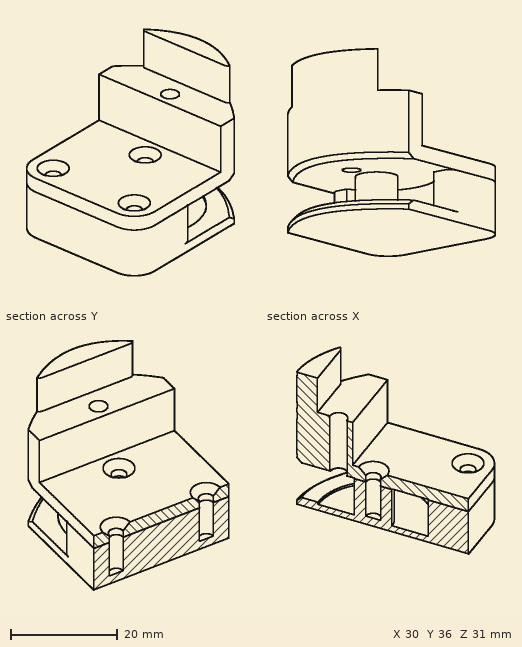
import cadquery as cq

WIDTH = 30.0
LENGTH = 36.0
HALF_WIDTH = WIDTH / 2
CORNER_RADIUS = 5.0
NOSE_LENGTH = 7.75
NOSE_START_Y = LENGTH - NOSE_LENGTH
NOSE_CHAMFER = 1.0

FLOOR_TOP = 2.0
PARTING_Z = 10.0
PLATE_TOP = 13.0
STEP_TOP = 23.0
LIP_TOP = 31.0

WHEEL_Y = 20.0
WHEEL_SPACE_DIAMETER = 23.0
WHEEL_RECESS_DEPTH = 0.5
HUB_DIAMETER = 8.0
BLOCK_LENGTH = 16.0
BLOCK_END_RADIUS = 2.0

STEP_FRONT_Y = 24.25
LIP_FRONT_Y = 31.6
LIP_WIDTH = 21.5
LIP_CORNER_RADIUS = 1.0

SCREW_DIAMETER = 3.0
SCREW_HEAD_DIAMETER = 6.0
COUNTERSINK_ANGLE = 90.0
FRONT_SCREW_X = 10.0
FRONT_SCREW_Y = 5.0
SCREW_POINTS = [
    (0, WHEEL_Y),
    (-FRONT_SCREW_X, FRONT_SCREW_Y),
    (FRONT_SCREW_X, FRONT_SCREW_Y),
]

STEP_HOLE_DIAMETER = 3.5
STEP_HOLE_Y = 27.25


def footprint_slab(bottom, top):
    """Slab with the full footprint between two heights."""
    nose_control = (0, NOSE_START_Y + 2 * NOSE_LENGTH)
    return (
        cq.Workplane("XY", origin=(0, 0, bottom))
        .moveTo(-HALF_WIDTH, NOSE_START_Y)
        .lineTo(-HALF_WIDTH, 0)
        .lineTo(HALF_WIDTH, 0)
        .lineTo(HALF_WIDTH, NOSE_START_Y)
        .bezier([nose_control, (-HALF_WIDTH, NOSE_START_Y)], includeCurrent=True)
        .close()
        .extrude(top - bottom)
        .edges("|Z and <Y")
        .fillet(CORNER_RADIUS)
    )


def full_width_box(front, back, bottom, top):
    """Box across the full width between two Y positions and two heights."""
    return (
        cq.Workplane("XY", origin=(0, front, bottom))
        .rect(WIDTH, back - front, centered=(True, False))
        .extrude(top - bottom)
    )


def cylinder(diameter, y, bottom, top):
    """Vertical cylinder on the centre line."""
    return cq.Workplane("XY", origin=(0, y, bottom)).circle(diameter / 2).extrude(top - bottom)


def make_base():
    """Floor, rear-opening wheel space, hub and blind screw holes."""
    base = footprint_slab(0, FLOOR_TOP).faces(">Z").edges(">Y").chamfer(NOSE_CHAMFER)

    block = footprint_slab(0, PARTING_Z).intersect(full_width_box(0, BLOCK_LENGTH, 0, PARTING_Z))
    block = block.edges("|Z and >Y").fillet(BLOCK_END_RADIUS)
    wheel_floor = FLOOR_TOP - WHEEL_RECESS_DEPTH
    base = base.union(block).cut(cylinder(WHEEL_SPACE_DIAMETER, WHEEL_Y, wheel_floor, PARTING_Z))

    base = base.union(cylinder(HUB_DIAMETER, WHEEL_Y, wheel_floor, PARTING_Z))

    screw_holes = (
        cq.Workplane("XY", origin=(0, 0, FLOOR_TOP))
        .pushPoints(SCREW_POINTS)
        .circle(SCREW_DIAMETER / 2)
        .extrude(PARTING_Z - FLOOR_TOP)
    )
    return base.cut(screw_holes)


def make_lip():
    """Upright lip: the nose area cut straight across at the front, with rounded front corners."""
    lip_block = (
        cq.Workplane("XY", origin=(0, LIP_FRONT_Y, STEP_TOP))
        .rect(LIP_WIDTH, LENGTH - LIP_FRONT_Y, centered=(True, False))
        .extrude(LIP_TOP - STEP_TOP)
        .edges("|Z and <Y")
        .fillet(LIP_CORNER_RADIUS)
    )
    return footprint_slab(STEP_TOP, LIP_TOP).intersect(lip_block)


def make_cover():
    """Plate with raised step, lip, countersunk screw holes and the hole through the step."""
    cover = footprint_slab(PARTING_Z, STEP_TOP)
    cover = cover.cut(full_width_box(0, STEP_FRONT_Y, PLATE_TOP, STEP_TOP))
    cover = cover.faces("<Z").edges(">Y").chamfer(NOSE_CHAMFER)
    cover = cover.union(make_lip())

    cover = cover.cut(cylinder(STEP_HOLE_DIAMETER, STEP_HOLE_Y, PARTING_Z, STEP_TOP))
    return (
        cover.copyWorkplane(cq.Workplane("XY", origin=(0, 0, PLATE_TOP)))
        .pushPoints(SCREW_POINTS)
        .cskHole(SCREW_DIAMETER, SCREW_HEAD_DIAMETER, COUNTERSINK_ANGLE, PLATE_TOP - PARTING_Z)
    )


base = make_base()
cover = make_cover()

result = cq.Compound.makeCompound([base.val(), cover.val()])